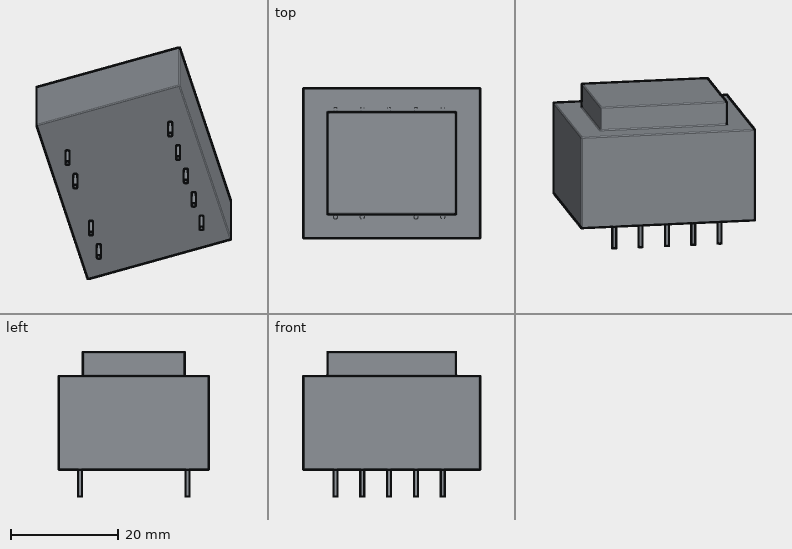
import cadquery as cq

body_length = 33.0
body_width = 28.0
body_height = 17.5

lid_length = 23.95
lid_width = 19.0
lid_height = 4.5

edge_radius = 0.2

pin_diameter = 0.8
pin_length = 5.0
pins_per_row = 5
pin_row_spacing = 20.0
pin_pitch = pin_row_spacing / (pins_per_row - 1)
pin_row_offset = pin_row_spacing / 2
pin_shift_x = -0.5
middle_pin = pins_per_row // 2


def rounded_body():
    block = cq.Workplane("XY").box(body_length, body_width, body_height, centered=(True, True, False))
    return block.edges().fillet(edge_radius)


def rounded_lid():
    base = cq.Workplane("XY").workplane(offset=body_height)
    block = base.rect(lid_length, lid_width).extrude(lid_height)
    return block.edges("|Z or >Z").fillet(edge_radius)


def add_foot_fillet(part):
    """Blend the foot of the lid into the top of the body."""
    lid_foot = cq.selectors.BoxSelector(
        (-lid_length / 2 - edge_radius, -lid_width / 2 - edge_radius, body_height - edge_radius / 2),
        (lid_length / 2 + edge_radius, lid_width / 2 + edge_radius, body_height + edge_radius / 2),
    )
    return part.edges(lid_foot).fillet(edge_radius)


def pin_positions():
    """The -Y row leaves its middle place empty; the +Y row is full."""
    positions = []
    for index in range(pins_per_row):
        x = pin_shift_x + (index - middle_pin) * pin_pitch
        positions.append((x, pin_row_offset))
        if index != middle_pin:
            positions.append((x, -pin_row_offset))
    return positions


def pins():
    return cq.Workplane("XY").pushPoints(pin_positions()).circle(pin_diameter / 2).extrude(-pin_length)


housing = add_foot_fillet(rounded_body().union(rounded_lid()))
result = housing.union(pins())